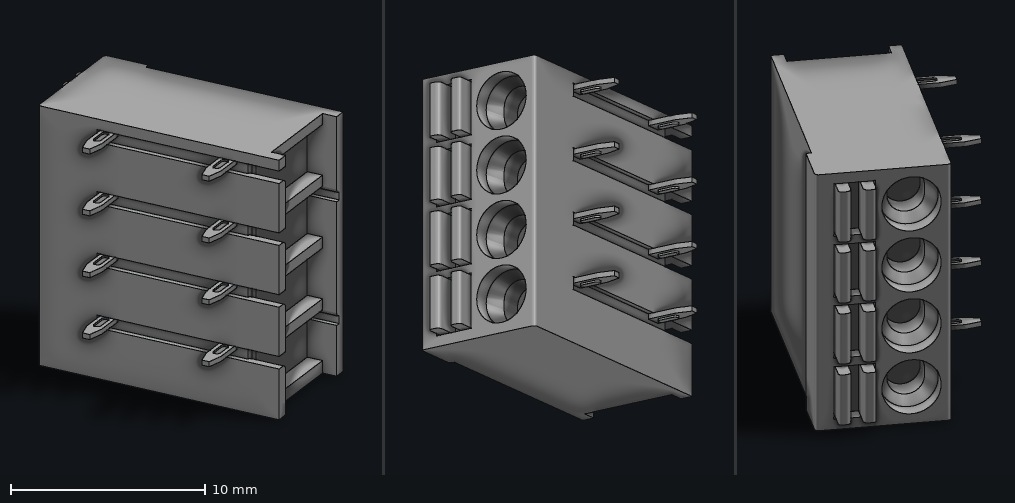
import cadquery as cq
import math


length = 15.05
height = 14.7
pole_count = 4
end_wall = 0.7
pitch = (height - end_wall) / pole_count

face_x = 0.87
shoulder_x = 3.4
shoulder_run = 0.09
shoulder_y = 7.16
back_y = 6.88
flange_thickness = 0.7
flange_length = 0.83
flange_start_x = length - flange_length
front_edge_radius = 0.21

first_center_z = end_wall / 2 + pitch / 2

entry_diameter = 3.1
entry_y = 2.1
entry_bore_depth = 0.86
funnel_depth = 0.8
throat_height = 2.42
throat_width = 1.95
throat_depth = 1.2

pocket_height = 3.01
pocket_width = 2.17
pocket_y = 5.09
pocket_depth = 0.75
web_thickness = 0.15
button_height = 2.87
prong_width = 0.68
button_width = 1.99
prong_outer_radius = 0.18
prong_inner_radius = 0.25

slot_start_x = 4.35
slot_height = 0.7
slot_depth = 0.32
slot_top_above_center = 1.49
chamber_start_x = 13.32
window_start_x = 13.06
window_edge_radius = 0.33
chamber_height = 2.87
groove_depth = 0.27

pin_centers_x = (4.97, 11.98)
pin_width = 0.87
pin_thickness = 0.29
pin_length = 2.29
pin_taper_length = 0.89
pin_tip_width = 0.44
bead_width = 0.4
bead_start = 0.05
bead_end = 1.26
bead_depth = 0.1


def box(x_range, y_range, z_range):
    """Box spanning the given (low, high) ranges."""
    sizes = [high - low for low, high in (x_range, y_range, z_range)]
    corner = (x_range[0], y_range[0], z_range[0])
    return cq.Workplane("XY").box(*sizes, centered=False).translate(corner)


def make_housing():
    """Constant profile with a raised front shoulder and two rear flanges."""
    profile = [
        (face_x, 0),
        (length, 0),
        (length, flange_thickness),
        (flange_start_x, flange_thickness),
        (flange_start_x, back_y - flange_thickness),
        (length, back_y - flange_thickness),
        (length, back_y),
        (shoulder_x + shoulder_run, back_y),
        (shoulder_x, shoulder_y),
        (face_x, shoulder_y),
    ]
    housing = cq.Workplane("XY").polyline(profile).close().extrude(height)
    return housing.edges("|Z and <X").fillet(front_edge_radius)


def make_wire_entry(center_z):
    """Round bore, funnel and slot-shaped throat, to be removed from the front face."""
    front = cq.Workplane("YZ", origin=(face_x, entry_y, center_z))
    bore = front.circle(entry_diameter / 2).extrude(entry_bore_depth)
    funnel = (
        front.workplane(offset=entry_bore_depth)
        .circle(entry_diameter / 2)
        .workplane(offset=funnel_depth)
        .slot2D(throat_height, throat_width, 90)
        .loft(ruled=True)
    )
    throat = (
        front.workplane(offset=entry_bore_depth + funnel_depth)
        .slot2D(throat_height, throat_width, 90)
        .extrude(throat_depth)
    )
    return bore.union(funnel).union(throat)


def make_button_pocket(center_z):
    """Shallow clearance pocket around one push button."""
    return box(
        (face_x, face_x + pocket_depth),
        (pocket_y - pocket_width / 2, pocket_y + pocket_width / 2),
        (center_z - pocket_height / 2, center_z + pocket_height / 2),
    )


def make_button(center_z):
    """Push button with two rounded prongs joined by a web."""
    z_range = (center_z - button_height / 2, center_z + button_height / 2)
    low_y = pocket_y - button_width / 2
    high_y = pocket_y + button_width / 2
    pocket_floor_x = face_x + pocket_depth
    button = box((pocket_floor_x - web_thickness, pocket_floor_x), (low_y, high_y), z_range)
    lower = box((0, pocket_floor_x), (low_y, low_y + prong_width), z_range)
    upper = box((0, pocket_floor_x), (high_y - prong_width, high_y), z_range)
    lower = lower.edges("|Z and <X and <Y").fillet(prong_outer_radius)
    lower = lower.edges("|Z and <X and >Y").fillet(prong_inner_radius)
    upper = upper.edges("|Z and <X and >Y").fillet(prong_outer_radius)
    upper = upper.edges("|Z and <X and <Y").fillet(prong_inner_radius)
    return button.union(lower).union(upper)


def make_slot(top_z):
    """Shallow slot in the pin side, open towards the rear."""
    return box((slot_start_x, length), (0, slot_depth), (top_z - slot_height, top_z))


def make_window(top_z):
    """Opening from the slot into the rear chamber, with the inner edge of its lower side rounded."""
    slot_bottom = top_z - slot_height
    arc_inset = window_edge_radius * (1 - math.sqrt(0.5))
    return (
        cq.Workplane("YZ", origin=(window_start_x, 0, 0))
        .moveTo(0, top_z)
        .lineTo(flange_thickness, top_z)
        .lineTo(flange_thickness, slot_bottom - window_edge_radius)
        .threePointArc(
            (flange_thickness - arc_inset, slot_bottom - arc_inset),
            (flange_thickness - window_edge_radius, slot_bottom),
        )
        .lineTo(0, slot_bottom)
        .close()
        .extrude(length - window_start_x)
    )


def make_chamber(top_z):
    """Rear chamber between the two flanges; its front wall has a rounded top corner."""
    corner_radius = chamber_start_x - window_start_x
    arc_inset = corner_radius * (1 - math.sqrt(0.5))
    chamber_bottom = top_z - chamber_height
    return (
        cq.Workplane("XZ", origin=(0, back_y - flange_thickness, 0))
        .moveTo(chamber_start_x, chamber_bottom)
        .lineTo(chamber_start_x, top_z - corner_radius)
        .threePointArc(
            (chamber_start_x - arc_inset, top_z - arc_inset),
            (window_start_x, top_z),
        )
        .lineTo(length, top_z)
        .lineTo(length, chamber_bottom)
        .close()
        .extrude(back_y - 2 * flange_thickness)
    )


def make_flange_groove(top_z):
    """Groove along the inner face of the upper flange, rounded over at its top edge."""
    inner_y = back_y - flange_thickness
    groove_bottom = top_z - slot_height
    arc_inset = groove_depth * (1 - math.sqrt(0.5))
    return (
        cq.Workplane("YZ", origin=(window_start_x, 0, 0))
        .moveTo(inner_y, top_z)
        .threePointArc(
            (inner_y + arc_inset, top_z - groove_depth + arc_inset),
            (inner_y + groove_depth, top_z - groove_depth),
        )
        .lineTo(inner_y + groove_depth, groove_bottom)
        .lineTo(inner_y, groove_bottom)
        .close()
        .extrude(length - window_start_x)
    )


def make_pin(center_x, top_z):
    """Flat tapered solder pin with a bead pressed down from its upper face."""
    half_width = pin_width / 2
    half_tip = pin_tip_width / 2
    taper_y = pin_taper_length - pin_length
    outline = [
        (center_x - half_width, slot_depth),
        (center_x - half_width, taper_y),
        (center_x - half_tip, -pin_length),
        (center_x + half_tip, -pin_length),
        (center_x + half_width, taper_y),
        (center_x + half_width, slot_depth),
    ]
    pin = (
        cq.Workplane("XY", origin=(0, 0, top_z - pin_thickness))
        .polyline(outline)
        .close()
        .extrude(pin_thickness)
    )
    bead_y = -(bead_start + bead_end) / 2
    bead = (
        cq.Workplane("XY", origin=(center_x, bead_y, top_z - pin_thickness - bead_depth))
        .slot2D(bead_end - bead_start, bead_width, 90)
        .extrude(bead_depth)
    )
    dent = bead.translate((0, 0, pin_thickness))
    return pin.union(bead).cut(dent)


result = make_housing()
for pole in range(pole_count):
    pole_z = first_center_z + pole * pitch
    pole_slot_top = pole_z + slot_top_above_center
    result = result.cut(make_wire_entry(pole_z))
    result = result.cut(make_button_pocket(pole_z))
    result = result.cut(make_slot(pole_slot_top))
    result = result.cut(make_window(pole_slot_top))
    result = result.cut(make_chamber(pole_slot_top))
    if pole % 2 == 0:
        result = result.cut(make_flange_groove(pole_slot_top))
    result = result.union(make_button(pole_z))
    for pin_x in pin_centers_x:
        result = result.union(make_pin(pin_x, pole_slot_top))